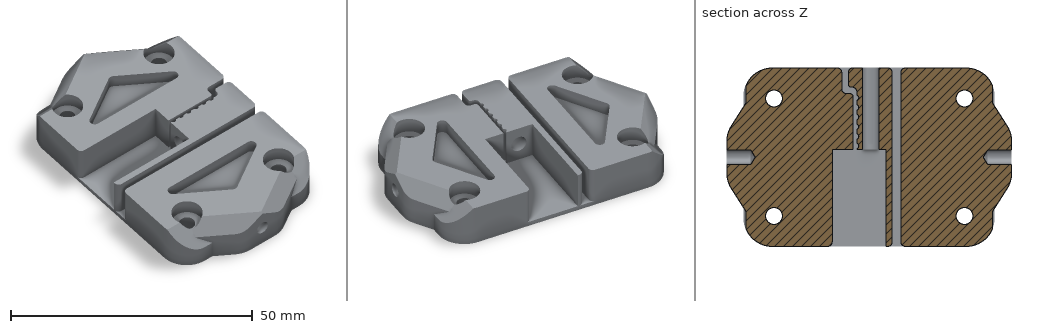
import cadquery as cq
import math

body_length = 52.0
body_width = 37.0
height = 9.0
body_corner_radius = 6.0
body_end_chamfer = 5.0

overall_length = 59.0
wing_slant = math.radians(32.5)
wing_corner_y = 5.0
wing_corner_radius = 6.0
wing_chamfer = 3.0

screw_x = 19.7
screw_y = 12.15
screw_diameter = 3.4
counterbore_diameter = 6.5
counterbore_depth = 3.2

pocket_inner_x = 11.8
pocket_rim = 10.0
pocket_corner_radius = 1.1
pocket_depth = 3.0

pin_diameter = 2.9
pin_z = 4.5
pin_depth = 5.0
drill_tip_angle = math.radians(118)

floor_thickness = 1.0
mouth_radius = 1.0
bay_left = -7.6
bay_right = 3.45
bay_end_y = 1.5
slot_left = 4.8
slot_right = 6.5

passage_left = -3.33
passage_right = -2.62
outlet_left = -5.63
outlet_width = 1.25
step_left_y = 13.2
step_inner_radius = 0.9
step_outer_radius = 0.6

scallop_count = 6
scallop_pitch = 2.0
scallop_first_y = 2.3
scallop_radius = 0.6
scallop_depth = 0.4

cable_hole_diameter = 3.5
cable_hole_x = 0.3
cable_hole_z = 5.0

half_length = overall_length / 2
half_width = body_width / 2
wing_apex_x = half_length + wing_corner_y * math.tan(wing_slant)
channel_height = height - floor_thickness


def make_body():
    block = cq.Workplane("XY").box(body_length, body_width, height, centered=(True, True, False))
    block = block.faces(">Z").edges("|Y").chamfer(body_end_chamfer)
    rounded = cq.Workplane("XY").rect(body_length, body_width).extrude(height)
    rounded = rounded.edges("|Z").fillet(body_corner_radius)
    return block.intersect(rounded)


def make_wings():
    """Rhombus with chamfered top edges, cut to length and with rounded tip corners."""
    half_span = wing_apex_x / math.tan(wing_slant)
    rhombus = [(-wing_apex_x, 0), (0, -half_span), (wing_apex_x, 0), (0, half_span)]
    roof = cq.Workplane("XY").polyline(rhombus).close().extrude(height)
    roof = roof.faces(">Z").edges().chamfer(wing_chamfer)

    outline = [
        (-half_length, -wing_corner_y),
        (0, -half_span),
        (half_length, -wing_corner_y),
        (half_length, wing_corner_y),
        (0, half_span),
        (-half_length, wing_corner_y),
    ]
    prism = cq.Workplane("XY").polyline(outline).close().extrude(height)
    prism = prism.edges("|Z").edges("<X or >X").fillet(wing_corner_radius)
    limit = cq.Workplane("XY").rect(overall_length, body_width).extrude(height)
    flat_length = body_length - 2 * body_end_chamfer
    core = cq.Workplane("XY").rect(flat_length, 2 * half_span).extrude(height)
    return roof.intersect(prism).intersect(limit).cut(core)


def cut_screw_holes(part):
    return (
        part.faces(">Z")
        .workplane(origin=(0, 0, height))
        .rect(2 * screw_x, 2 * screw_y, forConstruction=True)
        .vertices()
        .cboreHole(screw_diameter, counterbore_diameter, counterbore_depth)
    )


def make_pocket(side):
    """Triangular pocket pointing outwards; side is -1 or +1 along X."""
    apex_x = wing_apex_x - pocket_rim / math.cos(wing_slant)
    half_span = (apex_x - pocket_inner_x) / math.tan(wing_slant)
    corners = [
        (side * apex_x, 0),
        (side * pocket_inner_x, half_span),
        (side * pocket_inner_x, -half_span),
    ]
    prism = cq.Workplane("XY").workplane(offset=height - pocket_depth)
    prism = prism.polyline(corners).close().extrude(pocket_depth)
    return prism.edges("|Z").fillet(pocket_corner_radius)


def make_pin_hole(side):
    """Drilled blind hole entering a wing tip along X."""
    radius = pin_diameter / 2
    tip_length = radius / math.tan(drill_tip_angle / 2)
    bottom_x = half_length - pin_depth
    profile = [
        (half_length, 0),
        (half_length, radius),
        (bottom_x, radius),
        (bottom_x - tip_length, 0),
    ]
    drill = cq.Workplane("XZ").polyline(profile).close().revolve(360, (0, 0, 0), (1, 0, 0))
    if side < 0:
        drill = drill.mirror("YZ")
    return drill.translate((0, 0, pin_z))


def channel_box(x_min, x_max, y_min, y_max):
    box = cq.Workplane("XY").box(x_max - x_min, y_max - y_min, channel_height, centered=False)
    return box.translate((x_min, y_min, floor_thickness))


def make_mouth_round(wall_x, wall_side, end):
    """Waste outside a rounded wall corner; the wall lies on wall_side of wall_x, at Y end -1 or +1."""
    center_x = wall_x + wall_side * mouth_radius
    center_y = end * (half_width - mouth_radius)
    square = channel_box(
        min(wall_x, center_x),
        max(wall_x, center_x),
        min(center_y, end * half_width),
        max(center_y, end * half_width),
    )
    post = cq.Workplane("XY").center(center_x, center_y).circle(mouth_radius).extrude(height)
    return square.cut(post)


def make_passage():
    outlet_right = outlet_left + outlet_width
    step_right_y = step_left_y + outlet_width
    outline = [
        (passage_left, bay_end_y),
        (passage_right, bay_end_y),
        (passage_right, step_right_y),
        (outlet_right, step_right_y),
        (outlet_right, half_width),
        (outlet_left, half_width),
        (outlet_left, step_left_y),
        (passage_left, step_left_y),
    ]
    passage = cq.Workplane("XY").workplane(offset=floor_thickness)
    passage = passage.polyline(outline).close().extrude(channel_height)

    def round_corner(solid, x, y, radius):
        nearest = cq.selectors.NearestToPointSelector((x, y, height / 2))
        return solid.edges("|Z").edges(nearest).fillet(radius)

    passage = round_corner(passage, outlet_left, step_left_y, step_inner_radius)
    passage = round_corner(passage, passage_left, step_left_y, step_outer_radius)
    passage = round_corner(passage, outlet_right, step_right_y, step_outer_radius)
    passage = round_corner(passage, passage_right, step_right_y, step_inner_radius)

    scallop_x = passage_right + scallop_depth - scallop_radius
    for index in range(scallop_count):
        scallop_y = scallop_first_y + index * scallop_pitch
        scallop = cq.Workplane("XY").workplane(offset=floor_thickness)
        scallop = scallop.center(scallop_x, scallop_y).circle(scallop_radius).extrude(channel_height)
        bite = channel_box(passage_right, scallop_x + scallop_radius, bay_end_y, half_width)
        passage = passage.union(scallop.intersect(bite))
    return passage


def cut_channels(part):
    part = part.cut(channel_box(bay_left, bay_right, -half_width, bay_end_y))
    part = part.cut(channel_box(slot_left, slot_right, -half_width, half_width))
    part = part.cut(make_passage())
    rounded_mouths = [
        (bay_left, -1, -1),
        (slot_left, -1, -1),
        (slot_right, 1, -1),
        (outlet_left, -1, 1),
        (outlet_left + outlet_width, 1, 1),
        (slot_left, -1, 1),
        (slot_right, 1, 1),
    ]
    for wall_x, wall_side, end in rounded_mouths:
        part = part.cut(make_mouth_round(wall_x, wall_side, end))
    return part


def make_cable_hole():
    hole = cq.Workplane("XZ").center(cable_hole_x, cable_hole_z).circle(cable_hole_diameter / 2)
    return hole.extrude(half_width, both=True)


result = make_body().union(make_wings())
result = cut_screw_holes(result)
for end_side in (-1, 1):
    result = result.cut(make_pocket(end_side)).cut(make_pin_hole(end_side))
result = cut_channels(result)
result = result.cut(make_cable_hole())